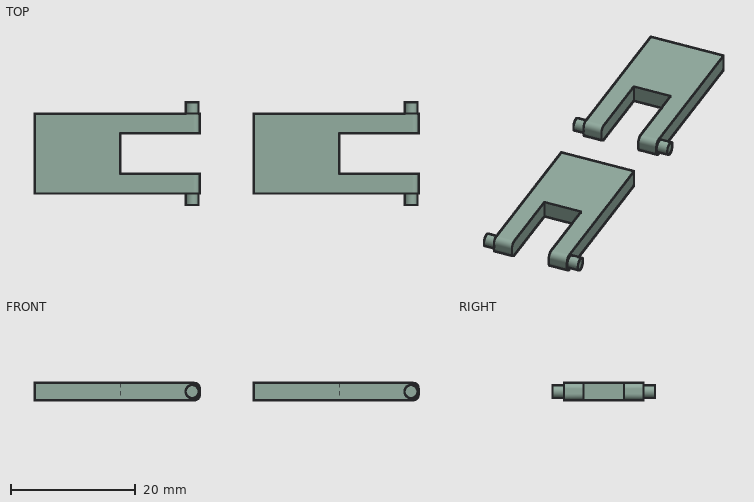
import cadquery as cq

total_length = 61.45
total_width = 16.45
thickness = 2.8

plate_length = 26.4
plate_width = 12.8
slot_width = 6.45
slot_start = 13.7
tip_radius = 1.0

pin_diameter = 2.1
pin_center_x = 25.2
pin_length = (total_width - plate_width) / 2

fork_count = 2
fork_pitch = (total_length - plate_length) / (fork_count - 1)


def forked_plate():
    """Flat plate with an open slot and rounded arm tips, plain end at X = 0."""
    plate = cq.Workplane("XY").box(
        plate_length, plate_width, thickness, centered=(False, True, True)
    )
    plate = plate.faces(">X").edges("|Y").fillet(tip_radius)
    slot = (
        cq.Workplane("XY")
        .box(plate_length - slot_start, slot_width, thickness, centered=(False, True, True))
        .translate((slot_start, 0, 0))
    )
    return plate.cut(slot)


def pivot_pin(side):
    """Pin standing outward from an arm; side is +1 or -1 along Y."""
    return cq.Workplane(
        cq.Solid.makeCylinder(
            pin_diameter / 2,
            pin_length,
            cq.Vector(pin_center_x, side * plate_width / 2, 0),
            cq.Vector(0, side, 0),
        )
    )


def fork(start_x):
    """One complete fork with its two pivot pins, plain end at start_x."""
    body = forked_plate()
    for side in (-1, 1):
        body = body.union(pivot_pin(side))
    return body.translate((start_x, 0, 0))


forks = []
for index in range(fork_count):
    start_x = -total_length / 2 + index * fork_pitch
    forks.append(fork(start_x).val())

result = cq.Compound.makeCompound(forks)